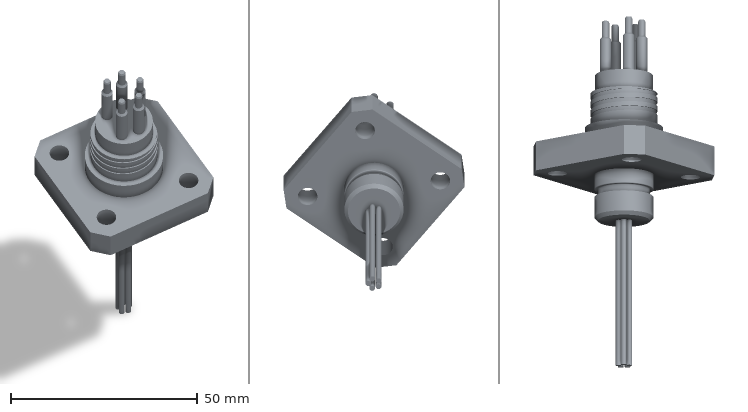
import cadquery as cq
import math

BODY_BOTTOM = 40.1
GROOVE_BOTTOM = 46.65
GROOVE_TOP = 48.6
PLATE_BOTTOM = 52.6
PLATE_THICKNESS = 8.0
COLLAR_HEIGHT = 4.95
THREAD_LENGTH = 9.5
NOSE_HEIGHT = 5.0
PIN_SHOULDER = 90.2
PIN_TOP = 95.2

PLATE_TOP = PLATE_BOTTOM + PLATE_THICKNESS
COLLAR_TOP = PLATE_TOP + COLLAR_HEIGHT
THREAD_TOP = COLLAR_TOP + THREAD_LENGTH
NOSE_TOP = THREAD_TOP + NOSE_HEIGHT

PLATE_SIDE = 38.1
PLATE_CORNER_CHAMFER = 4.0
MOUNT_HOLE_DIAMETER = 5.2
MOUNT_HOLE_SPACING = 25.4

NECK_DIAMETER = 15.9
NECK_END_CHAMFER = 0.95
GROOVE_DIAMETER = 13.9
GROOVE_ROUNDING = 0.2
COLLAR_DIAMETER = 21.0
THREAD_DIAMETER = 18.0
NOSE_DIAMETER = 15.5

THREAD_PITCH = 2.4
THREAD_GROOVE_WIDTH = 1.1
THREAD_GROOVE_DEPTH = 0.3
THREAD_START_ANGLE = 162
THREAD_START_LEVEL = 68.2
CUTTER_OVERHANG = 0.5

PIN_CIRCLE_RADIUS = 4.95
PIN_ANGLES = (90, 23, -37, -143, 157)
PIN_DIAMETER = 3.0
PIN_TIP_DIAMETER = 2.0
PIN_END_DIAMETER = 1.5
PIN_TAPER_HEIGHT = 0.5

WIRE_COUNT = 5
WIRE_DIAMETER = 1.5
WIRE_CIRCLE_RADIUS = 1.5
WIRE_FIRST_ANGLE = 90


def polar_point(radius, angle):
    """Point at the given radius and angle (degrees) around the axis."""
    return radius * math.cos(math.radians(angle)), radius * math.sin(math.radians(angle))


def cylinder(diameter, bottom, top):
    """Cylinder on the connector axis between two levels."""
    return cq.Workplane("XY", origin=(0, 0, bottom)).circle(diameter / 2).extrude(top - bottom)


def flange_plate():
    """Square plate with chamfered corners and four mounting holes."""
    return (
        cq.Workplane("XY", origin=(0, 0, PLATE_BOTTOM))
        .rect(PLATE_SIDE, PLATE_SIDE)
        .extrude(PLATE_THICKNESS)
        .edges("|Z")
        .chamfer(PLATE_CORNER_CHAMFER)
        .faces(">Z")
        .workplane()
        .rect(MOUNT_HOLE_SPACING, MOUNT_HOLE_SPACING, forConstruction=True)
        .vertices()
        .hole(MOUNT_HOLE_DIAMETER)
    )


def lower_neck():
    """Neck below the plate: chamfered lower end and a seal groove with rounded rims and corners."""
    neck = cylinder(NECK_DIAMETER, BODY_BOTTOM, PLATE_BOTTOM).faces("<Z").chamfer(NECK_END_CHAMFER)
    ring = cylinder(COLLAR_DIAMETER, GROOVE_BOTTOM, GROOVE_TOP)
    ring = ring.cut(cylinder(GROOVE_DIAMETER, GROOVE_BOTTOM, GROOVE_TOP))
    low_corner = (-NECK_DIAMETER, -NECK_DIAMETER, GROOVE_BOTTOM - GROOVE_ROUNDING)
    high_corner = (NECK_DIAMETER, NECK_DIAMETER, GROOVE_TOP + GROOVE_ROUNDING)
    groove_edges = cq.selectors.BoxSelector(low_corner, high_corner)
    return neck.cut(ring).edges("%CIRCLE").edges(groove_edges).fillet(GROOVE_ROUNDING)


def thread_groove():
    """Helical cutter that leaves the thread through its upper end."""
    root_radius = THREAD_DIAMETER / 2 - THREAD_GROOVE_DEPTH
    height = THREAD_TOP + THREAD_GROOVE_WIDTH - THREAD_START_LEVEL
    helix = cq.Wire.makeHelix(THREAD_PITCH, height, root_radius)
    section_length = THREAD_GROOVE_DEPTH + CUTTER_OVERHANG
    section = cq.Workplane("XZ").center(root_radius + section_length / 2, 0)
    cutter = section.rect(section_length, THREAD_GROOVE_WIDTH).sweep(cq.Workplane(helix), isFrenet=True)
    return cutter.rotate((0, 0, 0), (0, 0, 1), THREAD_START_ANGLE).translate((0, 0, THREAD_START_LEVEL))


def threaded_barrel():
    """Barrel cut over-long by the groove, then trimmed so that the thread runs out at the top."""
    blank_top = THREAD_TOP + THREAD_PITCH
    blank = cylinder(THREAD_DIAMETER, COLLAR_TOP, blank_top).cut(thread_groove())
    return blank.cut(cylinder(COLLAR_DIAMETER, THREAD_TOP, blank_top))


def upper_body():
    """Collar, threaded barrel and plain nose above the plate."""
    collar = cylinder(COLLAR_DIAMETER, PLATE_TOP, COLLAR_TOP)
    nose = cylinder(NOSE_DIAMETER, THREAD_TOP, NOSE_TOP)
    return collar.union(threaded_barrel()).union(nose)


def contact_pin():
    """Stepped pin on the axis with a conical shoulder and a tapered tip."""
    shoulder_chamfer = (PIN_DIAMETER - PIN_TIP_DIAMETER) / 2
    profile = [
        (0, NOSE_TOP),
        (PIN_DIAMETER / 2, NOSE_TOP),
        (PIN_DIAMETER / 2, PIN_SHOULDER),
        (PIN_TIP_DIAMETER / 2, PIN_SHOULDER + shoulder_chamfer),
        (PIN_TIP_DIAMETER / 2, PIN_TOP - PIN_TAPER_HEIGHT),
        (PIN_END_DIAMETER / 2, PIN_TOP),
        (0, PIN_TOP),
    ]
    return cq.Workplane("XZ").polyline(profile).close().revolve(360, (0, 0), (0, 1))


result = flange_plate().union(lower_neck()).union(upper_body())

for angle in PIN_ANGLES:
    x, y = polar_point(PIN_CIRCLE_RADIUS, angle)
    result = result.union(contact_pin().translate((x, y, 0)))

for index in range(WIRE_COUNT):
    x, y = polar_point(WIRE_CIRCLE_RADIUS, WIRE_FIRST_ANGLE + index * 360 / WIRE_COUNT)
    result = result.union(cylinder(WIRE_DIAMETER, 0, BODY_BOTTOM).translate((x, y, 0)))